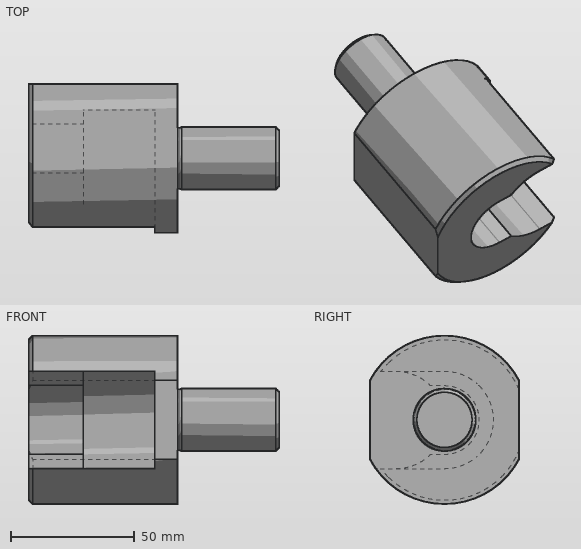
import cadquery as cq
import math

total_length = 101.6
body_length = 60.4
body_diameter = 68.3
width_across_flats = 60.4
body_chamfer = 1.6

slot_depth = 51.0
slot_radius = 19.7
lip_depth = 22.3
throat_radius = 13.9
entry_center_y = -19.7

shank_diameter = 25.4
neck_diameter = 24.8
neck_length = 0.6
runout_length = 1.0
shank_chamfer = 1.5


def cylinder_along_x(start, length, diameter):
    return cq.Workplane("YZ", origin=(start, 0, 0)).circle(diameter / 2).extrude(length)


def open_slot(start, length, radius, center_y=0.0):
    """Round-ended slot that runs from center_y out past the -Y side of the body."""
    end = cylinder_along_x(start, length, 2 * radius).translate((0, center_y, 0))
    channel = cq.Workplane("XY").box(
        length, body_diameter, 2 * radius, centered=(False, False, True)
    ).translate((start, center_y - body_diameter, 0))
    return end.union(channel)


body = cylinder_along_x(0, body_length, body_diameter).faces("<X").chamfer(body_chamfer)
flats = cq.Workplane("XY").box(
    body_length, width_across_flats, body_diameter, centered=(False, True, True)
)
body = body.intersect(flats)

body = body.cut(open_slot(0, lip_depth, throat_radius))
body = body.cut(open_slot(0, lip_depth, slot_radius, entry_center_y))

body = body.cut(open_slot(lip_depth, slot_depth - lip_depth, slot_radius))

neck_radius = neck_diameter / 2
shank_radius = shank_diameter / 2
runout_start = body_length + neck_length
runout_end = runout_start + runout_length
runout_rise = shank_radius - neck_radius
runout_radius = (runout_length**2 + runout_rise**2) / (2 * runout_rise)
half_sweep = math.asin(runout_length / runout_radius) / 2
runout_middle = (
    runout_start + runout_radius * math.sin(half_sweep),
    neck_radius + runout_radius * (1 - math.cos(half_sweep)),
)
shank = (
    cq.Workplane("XY")
    .moveTo(body_length, 0)
    .lineTo(body_length, neck_radius)
    .lineTo(runout_start, neck_radius)
    .threePointArc(runout_middle, (runout_end, shank_radius))
    .lineTo(total_length - shank_chamfer, shank_radius)
    .lineTo(total_length, shank_radius - shank_chamfer)
    .lineTo(total_length, 0)
    .close()
    .revolve(360, (0, 0, 0), (1, 0, 0))
)

result = body.union(shank)